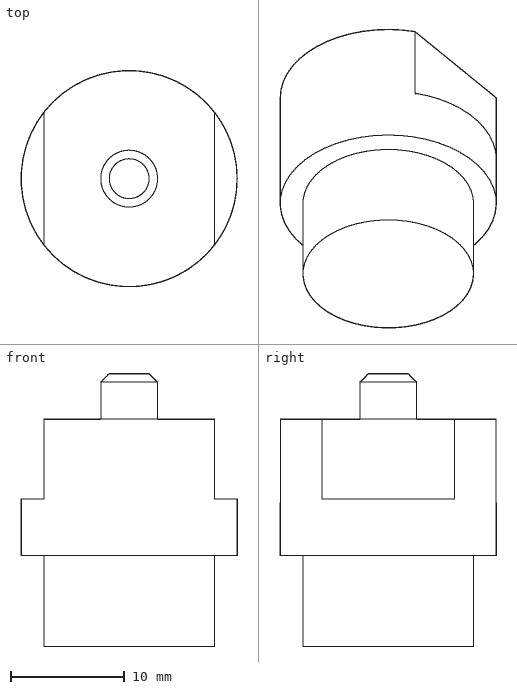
import cadquery as cq

spigot_diameter = 15.0
spigot_height = 8.0

body_diameter = 19.0
collar_height = 5.0
flat_height = 7.0
across_flats = 15.0
body_height = collar_height + flat_height

pin_diameter = 5.0
pin_height = 4.0
pin_chamfer = 0.75

collar_top = spigot_height + collar_height
body_top = spigot_height + body_height


def cylinder(diameter, height, base_z):
    """Upright cylinder on the Z axis, standing on base_z."""
    return cq.Workplane("XY", origin=(0, 0, base_z)).circle(diameter / 2).extrude(height)


def make_body():
    """Round body whose upper part is cut to two flats facing -X and +X."""
    collar = cylinder(body_diameter, collar_height, spigot_height)
    flats_block = (
        cq.Workplane("XY", origin=(0, 0, collar_top))
        .rect(across_flats, body_diameter)
        .extrude(flat_height)
    )
    flatted = cylinder(body_diameter, flat_height, collar_top).intersect(flats_block)
    return collar.union(flatted)


def make_pin():
    """Locating pin with a chamfered tip."""
    return cylinder(pin_diameter, pin_height, body_top).faces(">Z").chamfer(pin_chamfer)


spigot = cylinder(spigot_diameter, spigot_height, 0)
result = spigot.union(make_body()).union(make_pin()).clean()